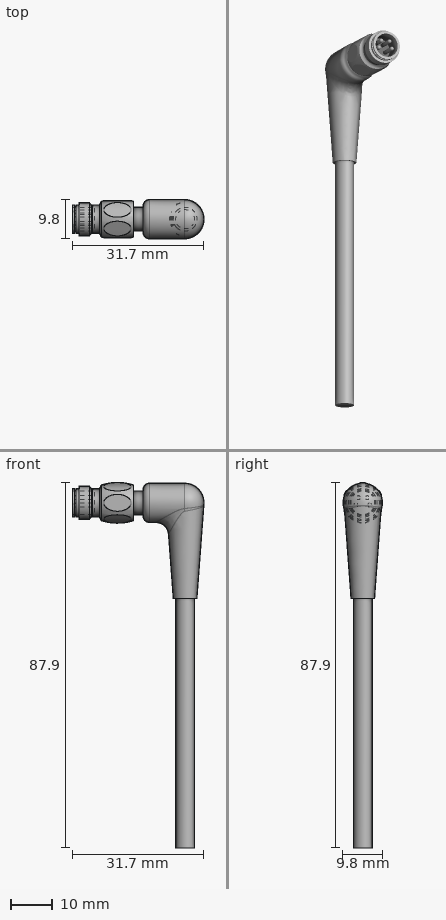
import cadquery as cq
import math

axis_z = 83.0

body_radius = 6.9 / 2
collar_radius = 8.0 / 2
groove_radius = 6.25 / 2
neck_radius = 5.8 / 2
groove_spans = [(0.5, 0.9), (4.6, 4.8)]
collar_start = 1.6
collar_end = 4.05
collar_taper_end = 4.6
socket_radius = 5.7 / 2
socket_depth = 5.3

nut_start = 6.95
nut_end = 14.7
nut_lead_in = 0.4
nut_end_radius = 4.3
nut_middle_radius = 4.9
flat_distance = 4.5
flat_count = 6

pin_radius = 1.0 / 2
pin_tip = 0.35
pin_offsets = [(-1.05, 1.2), (1.05, 1.2), (-1.7, -0.5), (1.7, -0.5)]

head_start = 17.0
head_radius = 9.5 / 2
head_edge_radius = 1.6
elbow_x = 31.7 - head_radius
inner_bend_radius = 3.0
boot_x = 27.1
boot_top_radius = 4.6
boot_end_z = 60.0
boot_end_radius = 5.7 / 2
cable_radius = 4.6 / 2


def cylinder_x(start, end, radius):
    """Cylinder on the connector axis between two X positions."""
    plane = cq.Workplane("YZ", origin=(start, 0, axis_z))
    return plane.circle(radius).extrude(end - start)


def revolve_about_connector(profile):
    """Turn a closed (x, radius) profile around the connector axis."""
    return profile.revolve(360, (0, 0, 0), (1, 0, 0))


def connector_profile():
    return cq.Workplane("XZ", origin=(0, 0, axis_z))


def make_plug():
    profile = connector_profile().polyline([
        (0, 0),
        (0, body_radius),
        (collar_start, body_radius),
        (collar_start, collar_radius),
        (collar_end, collar_radius),
        (collar_taper_end, body_radius),
        (nut_start, body_radius),
        (nut_start, 0),
    ]).close()
    plug = revolve_about_connector(profile)
    for start, end in groove_spans:
        ring = cylinder_x(start, end, collar_radius).cut(cylinder_x(start, end, groove_radius))
        plug = plug.cut(ring)
    return plug.cut(cylinder_x(0, socket_depth, socket_radius))


def make_pin(y, z):
    """Round-nosed pin rising from the socket floor."""
    nose_x = pin_tip + pin_radius
    plane = cq.Workplane("YZ", origin=(nose_x, y, axis_z + z))
    shank = plane.circle(pin_radius).extrude(socket_depth + pin_radius - nose_x)
    return shank.union(plane.sphere(pin_radius))


def make_nut():
    nut_middle = (nut_start + nut_end) / 2
    profile = (
        connector_profile()
        .moveTo(nut_start - nut_lead_in, 0)
        .lineTo(nut_start - nut_lead_in, body_radius)
        .lineTo(nut_start, nut_end_radius)
        .threePointArc((nut_middle, nut_middle_radius), (nut_end, nut_end_radius))
        .lineTo(nut_end, 0)
        .close()
    )
    nut = revolve_about_connector(profile)
    hexagon_diameter = 2 * flat_distance / math.cos(math.pi / flat_count)
    hexagon = (
        cq.Workplane("YZ", origin=(nut_start - nut_lead_in, 0, axis_z))
        .transformed(rotate=(0, 0, 180 / flat_count))
        .polygon(flat_count, hexagon_diameter)
        .extrude(nut_end - nut_start + nut_lead_in)
    )
    return nut.intersect(hexagon)


def make_housing():
    """Round-ended head joined to the boot by a filleted inner bend."""
    head = cylinder_x(head_start, elbow_x, head_radius).faces("<X").edges().fillet(head_edge_radius)
    ball = cq.Workplane("XY", origin=(elbow_x, 0, axis_z)).sphere(head_radius)
    boot = cq.Workplane(cq.Solid.makeCone(
        boot_top_radius, boot_end_radius, axis_z - boot_end_z,
        cq.Vector(boot_x, 0, axis_z), cq.Vector(0, 0, -1),
    ))
    housing = head.union(ball).union(boot)
    return housing.edges("%BSPLINE").fillet(inner_bend_radius)


def make_cable():
    return cq.Workplane("XY", origin=(boot_x, 0, 0)).circle(cable_radius).extrude(boot_end_z)


plug = make_plug()
for pin_y, pin_z in pin_offsets:
    plug = plug.union(make_pin(pin_y, pin_z))

neck = cylinder_x(nut_end, head_start, neck_radius)
result = plug.union(make_nut()).union(neck).union(make_housing()).union(make_cable())